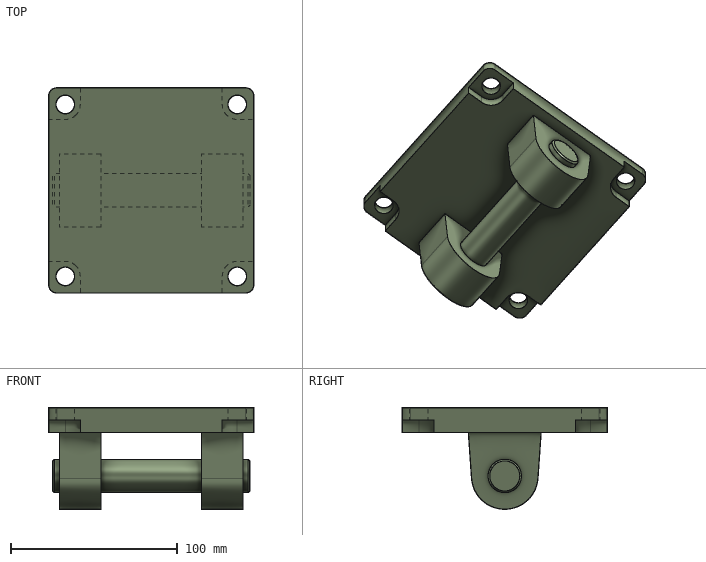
import cadquery as cq
import math

plate_side = 123.0
plate_thickness = 15.0
plate_corner_radius = 5.0

hole_diameter = 11.0
hole_edge_distance = 10.0
relief_radius = 9.0
relief_height = 7.5

lug_span = 110.0
lug_width = 25.0
lug_end_radius = 20.0
lug_taper_angle = 4.0
pin_axis_depth = 41.0

pin_diameter = 20.0
pin_length = 118.0
pin_chamfer = 1.0

hole_offset = plate_side / 2 - hole_edge_distance
relief_size = hole_edge_distance + relief_radius


def make_plate():
    return (
        cq.Workplane("XY")
        .rect(plate_side, plate_side)
        .extrude(-plate_thickness)
        .edges("|Z")
        .fillet(plate_corner_radius)
    )


def make_relief(x_sign, y_sign):
    """Corner pocket open to both plate sides, rounded concentric with the hole."""
    relief_centre = (plate_side - relief_size) / 2
    inner_edge = ("<X" if x_sign > 0 else ">X") + " and " + ("<Y" if y_sign > 0 else ">Y")
    return (
        cq.Workplane("XY", origin=(x_sign * relief_centre, y_sign * relief_centre, -plate_thickness))
        .rect(relief_size, relief_size)
        .extrude(relief_height)
        .edges("|Z and " + inner_edge)
        .fillet(relief_radius)
    )


def make_hole(x_sign, y_sign):
    return (
        cq.Workplane("XY", origin=(x_sign * hole_offset, y_sign * hole_offset, 0))
        .circle(hole_diameter / 2)
        .extrude(-plate_thickness)
    )


def make_lug(x_start):
    """Lug whose straight flanks run tangent into the round end."""
    taper = math.radians(lug_taper_angle)
    tangent_y = lug_end_radius * math.cos(taper)
    tangent_z = -pin_axis_depth - lug_end_radius * math.sin(taper)
    root_z = -plate_thickness
    root_y = tangent_y + (root_z - tangent_z) * math.tan(taper)
    return (
        cq.Workplane("YZ", origin=(x_start, 0, 0))
        .moveTo(-root_y, root_z)
        .lineTo(-tangent_y, tangent_z)
        .threePointArc((0, -pin_axis_depth - lug_end_radius), (tangent_y, tangent_z))
        .lineTo(root_y, root_z)
        .close()
        .extrude(lug_width)
    )


def make_pin():
    return (
        cq.Workplane("YZ", origin=(-pin_length / 2, 0, -pin_axis_depth))
        .circle(pin_diameter / 2)
        .extrude(pin_length)
        .faces("<X or >X")
        .chamfer(pin_chamfer)
    )


result = make_plate()

for x_sign in (-1, 1):
    for y_sign in (-1, 1):
        result = result.cut(make_relief(x_sign, y_sign))
        result = result.cut(make_hole(x_sign, y_sign))

for x_start in (-lug_span / 2, lug_span / 2 - lug_width):
    result = result.union(make_lug(x_start))

result = result.union(make_pin())